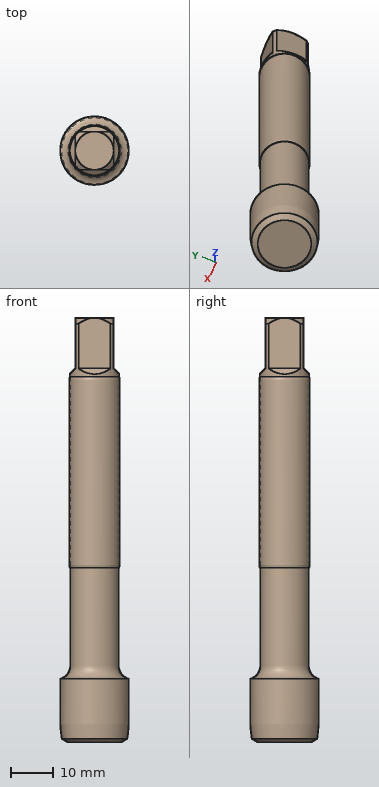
import cadquery as cq

total_length = 100.0
neck_diameter = 11.5
drive_diameter = 11.7
sleeve_diameter = 12.0
head_diameter = 16.2

nose_face_diameter = 12.6
nose_diameter = 15.5
nose_chamfer_height = 0.9
nose_top = 4.4
nose_bulge = 0.05
neck_start = 18.0
neck_fillet = 3.1

sleeve_bottom = 41.2
sleeve_top = 86.1
sleeve_chamfer_height = 0.6

square_size = 9.0
square_bottom = 88.1

neck_radius = neck_diameter / 2
drive_radius = drive_diameter / 2
sleeve_radius = sleeve_diameter / 2
head_radius = head_diameter / 2
nose_radius = nose_diameter / 2
half_square = square_size / 2
flat_depth = drive_radius - half_square


def neck_fillet_point(radius):
    """Point of the concave neck fillet at a given distance from the axis."""
    run = neck_radius + neck_fillet - radius
    return (radius, neck_start - (neck_fillet**2 - run**2) ** 0.5)


def make_turned_blank():
    """Shaft and head as one revolved outline, with a 45 degree chamfer at the drive end."""
    nose_middle = (
        (nose_radius + head_radius) / 2 + nose_bulge,
        (nose_chamfer_height + nose_top) / 2,
    )
    return (
        cq.Workplane("XZ")
        .lineTo(nose_face_diameter / 2, 0)
        .lineTo(nose_radius, nose_chamfer_height)
        .threePointArc(nose_middle, (head_radius, nose_top))
        .lineTo(*neck_fillet_point(head_radius))
        .threePointArc(
            neck_fillet_point((neck_radius + head_radius) / 2),
            (neck_radius, neck_start),
        )
        .lineTo(neck_radius, sleeve_top)
        .lineTo(drive_radius, sleeve_top)
        .lineTo(drive_radius, total_length - flat_depth)
        .lineTo(half_square, total_length)
        .lineTo(0, total_length)
        .close()
        .revolve(360, (0, 0, 0), (0, 1, 0))
    )


def make_flat_cutter():
    """Material beyond one drive flat, running out through the shaft at 45 degrees."""
    return (
        cq.Workplane("XZ")
        .moveTo(half_square, total_length)
        .lineTo(half_square, square_bottom)
        .lineTo(head_radius, square_bottom - (head_radius - half_square))
        .lineTo(head_radius, total_length)
        .close()
        .extrude(head_radius, both=True)
    )


def make_shaft():
    """Extension shaft: turned blank with four flats forming the square drive."""
    body = make_turned_blank()
    for angle in (0, 90, 180, 270):
        body = body.cut(make_flat_cutter().rotate((0, 0, 0), (0, 0, 1), angle))
    return body


def make_sleeve():
    """Thin tube around the shaft, its outer ends tapered down to the drive-end diameter."""
    return (
        cq.Workplane("XZ")
        .moveTo(neck_radius, sleeve_bottom)
        .lineTo(drive_radius, sleeve_bottom)
        .lineTo(sleeve_radius, sleeve_bottom + sleeve_chamfer_height)
        .lineTo(sleeve_radius, sleeve_top - sleeve_chamfer_height)
        .lineTo(drive_radius, sleeve_top)
        .lineTo(neck_radius, sleeve_top)
        .close()
        .revolve(360, (0, 0, 0), (0, 1, 0))
    )


shaft = make_shaft()
sleeve = make_sleeve()

result = cq.Compound.makeCompound([shaft.val(), sleeve.val()])